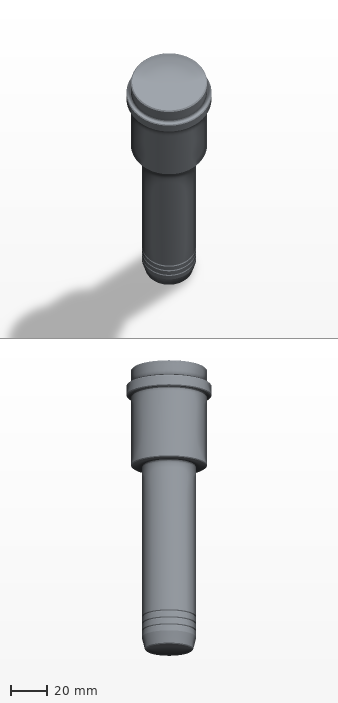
import cadquery as cq

TOTAL_HEIGHT = 160.0
FLANGE_TOP = 151.0
FLANGE_BOTTOM = 145.0
HEAD_BOTTOM = 105.0

FLANGE_DIAMETER = 47.0
HEAD_DIAMETER = 42.0
SHAFT_DIAMETER = 30.0
TIP_DIAMETER = 26.5

TIP_HEIGHT = 7.0
TIP_CHAMFER = 0.5

HEAD_TOP_CHAMFER = 0.6
HEAD_BOTTOM_CHAMFER = 0.5
FLANGE_CHAMFER = 0.5
RELIEF_WIDTH = 1.0
RELIEF_DEPTH = 0.5

TIP_GROOVE_COUNT = 3
LOWEST_TIP_GROOVE_HEIGHT = 10.5
TIP_GROOVE_PITCH = 4.0
GROOVE_WIDTH = 1.0
GROOVE_DEPTH = 0.5


def cylinder(diameter, bottom, top):
    """Solid cylinder on the Z axis between two heights."""
    return cq.Workplane("XY").workplane(offset=bottom).circle(diameter / 2).extrude(top - bottom)


def ring_cut(diameter, depth, bottom, width):
    """Ring that removes the outer skin of a cylinder over a given width."""
    clearance = 1.6
    outer = cylinder(diameter + clearance, bottom, bottom + width)
    return outer.cut(cylinder(diameter - 2 * depth, bottom, bottom + width))


def v_groove_cut(diameter, center):
    """Ring with a V section, centered on a height, that cuts a groove in a cylinder."""
    radius = diameter / 2
    half_width = GROOVE_WIDTH / 2
    section = cq.Workplane("XZ").polyline([
        (radius, center - half_width),
        (radius, center + half_width),
        (radius - GROOVE_DEPTH, center),
    ]).close()
    return section.revolve(360, (0, 0, 0), (0, 1, 0))


def make_shaft():
    """Grooved shaft with a tapered tip and a relief below the head."""
    tip = (
        cq.Workplane("XY")
        .circle(TIP_DIAMETER / 2)
        .workplane(offset=TIP_HEIGHT)
        .circle(SHAFT_DIAMETER / 2)
        .loft(combine=True)
        .faces("<Z")
        .chamfer(TIP_CHAMFER)
    )
    shaft = cylinder(SHAFT_DIAMETER, TIP_HEIGHT, HEAD_BOTTOM).union(tip)
    shaft = shaft.cut(ring_cut(SHAFT_DIAMETER, RELIEF_DEPTH, HEAD_BOTTOM - RELIEF_WIDTH, RELIEF_WIDTH))
    for index in range(TIP_GROOVE_COUNT):
        center = LOWEST_TIP_GROOVE_HEIGHT + index * TIP_GROOVE_PITCH
        shaft = shaft.cut(v_groove_cut(SHAFT_DIAMETER, center))
    return shaft


def make_head():
    """Chamfered head with a V groove on each side of its flange."""
    head = cylinder(HEAD_DIAMETER, HEAD_BOTTOM, TOTAL_HEIGHT)
    head = head.faces(">Z").chamfer(HEAD_TOP_CHAMFER)
    head = head.faces("<Z").chamfer(HEAD_BOTTOM_CHAMFER)
    for center in (FLANGE_TOP + GROOVE_WIDTH / 2, FLANGE_BOTTOM - GROOVE_WIDTH / 2):
        head = head.cut(v_groove_cut(HEAD_DIAMETER, center))
    flange = cylinder(FLANGE_DIAMETER, FLANGE_BOTTOM, FLANGE_TOP).faces("<Z or >Z").chamfer(FLANGE_CHAMFER)
    return head.union(flange)


result = make_shaft().union(make_head())